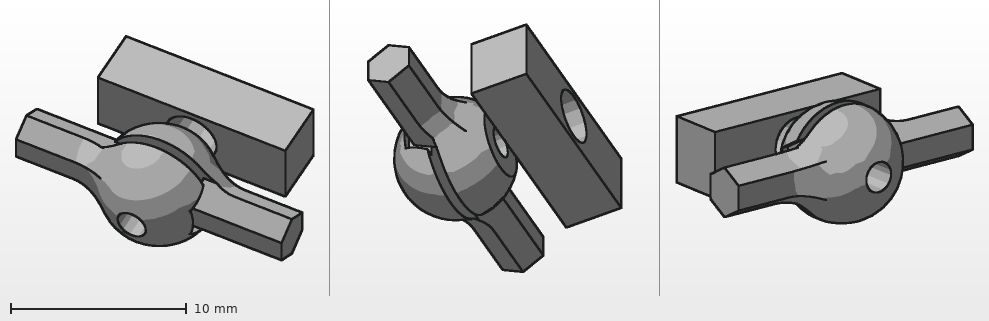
import cadquery as cq
import math

BALL_RADIUS = 3.52
GAP = 0.6
HOLE_DIAMETER = 1.8
REAR_FLAT_Y = 2.85

BAR_REACH = 8.5
BAR_CORNER_DIAMETER = 3.0
BAR_INNER_X = 2.69
MITRE_SLOPE = math.tan(math.radians(30))
BAR_APOTHEM = BAR_CORNER_DIAMETER / 2 * math.cos(math.radians(30))

FLARE_RADIUS = 3.0
FLARE_INNER_X = 1.7
FLARE_CENTRE_HEIGHT = BAR_APOTHEM + FLARE_RADIUS
FLARE_ANGLE = math.acos(FLARE_CENTRE_HEIGHT / (BALL_RADIUS + FLARE_RADIUS))
FLARE_CENTRE_RADIUS = (BALL_RADIUS + FLARE_RADIUS) * math.sin(FLARE_ANGLE)

NOTCH_CORNER_DIAMETER = 4.0
NOTCH_INNER_X = 2.5

BLOCK_LENGTH = 12.0
BLOCK_DEPTH = 3.5
BLOCK_HEIGHT = 4.0
BLOCK_FRONT_Y = 4.01
BLOCK_HOLE_DIAMETER = 3.2


def hex_bar(corner_diameter, x_start, x_end):
    """Hexagonal prism along X with corners on the XZ plane."""
    return (
        cq.Workplane("YZ", origin=(x_start, 0, 0))
        .transformed(rotate=(0, 0, 90))
        .polygon(6, corner_diameter)
        .extrude(x_end - x_start)
    )


def cross_hole(diameter, y_start, length):
    """Cylinder along Y for drilling through a body."""
    return cq.Workplane("XZ", origin=(0, y_start, 0)).circle(diameter / 2).extrude(-length)


def half_ball():
    """The part of the ball in front of the gap."""
    size = 2 * BALL_RADIUS
    front_side = cq.Workplane("XY").box(size, size, size).translate((0, -BALL_RADIUS - GAP / 2, 0))
    return cq.Workplane("XY").sphere(BALL_RADIUS).intersect(front_side)


def flare(face_angle):
    """Concave blend between the ball and one bar face, mitred to its neighbours.

    The front face has angle 0; other faces are turned about X by face_angle.
    """
    foot = (
        cq.Workplane("XY")
        .lineTo(FLARE_CENTRE_RADIUS, 0)
        .lineTo(FLARE_CENTRE_RADIUS, -BAR_APOTHEM)
        .threePointArc(
            (FLARE_CENTRE_RADIUS - FLARE_RADIUS * math.sin(FLARE_ANGLE / 2),
             -FLARE_CENTRE_HEIGHT + FLARE_RADIUS * math.cos(FLARE_ANGLE / 2)),
            (BALL_RADIUS * math.sin(FLARE_ANGLE), -BALL_RADIUS * math.cos(FLARE_ANGLE)),
        )
        .lineTo(0, -BALL_RADIUS * math.cos(FLARE_ANGLE))
        .close()
        .revolve(360, (0, 0, 0), (0, 1, 0))
    )
    wedge_half_width = BALL_RADIUS * MITRE_SLOPE
    wedge = (
        cq.Workplane("YZ", origin=(-BAR_REACH, 0, 0))
        .polyline([(0, 0), (-BALL_RADIUS, -wedge_half_width), (-BALL_RADIUS, wedge_half_width)])
        .close()
        .extrude(BAR_REACH - FLARE_INNER_X)
    )
    return foot.intersect(wedge).rotate((0, 0, 0), (1, 0, 0), face_angle)


def gap_relief():
    """Space in the gap above the bar, bounded below by the extended rear face of the bar."""
    corner = BAR_CORNER_DIAMETER / 2
    return (
        cq.Workplane("YZ", origin=(-BAR_REACH, 0, 0))
        .polyline([
            (0, corner),
            (-GAP / 2, corner + GAP / 2 * MITRE_SLOPE),
            (-GAP / 2, BALL_RADIUS),
            (0, BALL_RADIUS),
        ])
        .close()
        .extrude(BAR_REACH)
    )


def flared_bar():
    """Bar on the -X side with its three front faces flared towards the ball."""
    bar = hex_bar(BAR_CORNER_DIAMETER, -BAR_REACH, -BAR_INNER_X)
    for face_angle in (-60, 0, 60):
        bar = bar.union(flare(face_angle))
    relief = gap_relief()
    bar = bar.cut(relief).cut(relief.mirror("XY"))
    gap_core = cq.Workplane("XY").box(2 * BAR_INNER_X, GAP, 2 * BALL_RADIUS)
    return bar.cut(gap_core)


def joint_half():
    """Front half ball with its bar on the -X side and a notch on the +X side."""
    notch = hex_bar(NOTCH_CORNER_DIAMETER, NOTCH_INNER_X, BAR_REACH)
    hole = cross_hole(HOLE_DIAMETER, -BALL_RADIUS, BALL_RADIUS)
    return half_ball().union(flared_bar()).cut(notch).cut(hole)


def rear_joint_half():
    """Joint half turned half a turn about Z and cut flat at the back."""
    trim_depth = BALL_RADIUS
    trim = cq.Workplane("XY").box(2 * BALL_RADIUS, trim_depth, 2 * BALL_RADIUS)
    trim = trim.translate((0, REAR_FLAT_Y + trim_depth / 2, 0))
    return joint_half().rotate((0, 0, 0), (0, 0, 1), 180).cut(trim)


def drilled_block():
    """Rectangular block with one through hole along Y."""
    block = cq.Workplane("XY").box(BLOCK_LENGTH, BLOCK_DEPTH, BLOCK_HEIGHT)
    block = block.translate((0, BLOCK_FRONT_Y + BLOCK_DEPTH / 2, 0))
    return block.cut(cross_hole(BLOCK_HOLE_DIAMETER, BLOCK_FRONT_Y, BLOCK_DEPTH))


front_half = joint_half()
rear_half = rear_joint_half()
block = drilled_block()

result = cq.Compound.makeCompound([front_half.val(), rear_half.val(), block.val()])